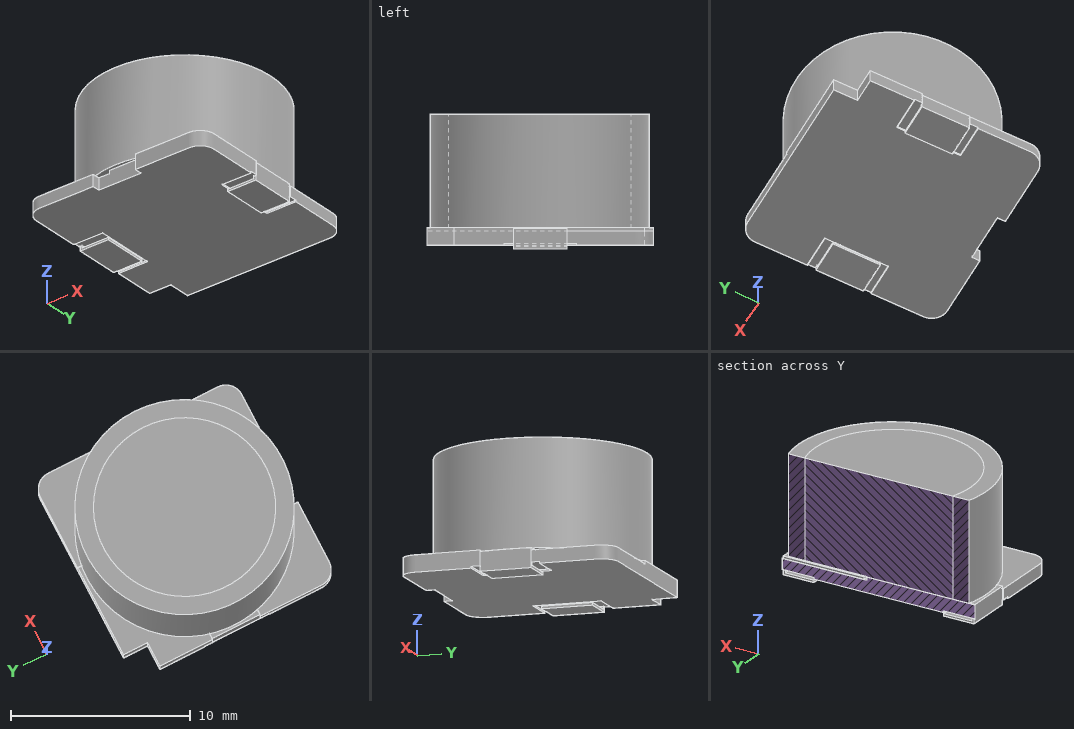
import cadquery as cq

base_side = 12.6
total_height = 7.5
half_side = base_side / 2

sheet_thickness = 0.15
terminal_width = 3.0
terminal_reach = 6.24
foot_length = 2.0
upper_arm_length = 5.28
foot_gap = 0.05
top_gap = 0.05

base_bottom = sheet_thickness + foot_gap
base_thickness = 1.0
base_top = base_bottom + base_thickness
corner_radius = 1.0
corner_cutout = 1.5
front_notch_width = 3.0
front_notch_depth = 0.5
side_notch_depth = half_side - terminal_reach + sheet_thickness

passage_floor = base_top - top_gap - sheet_thickness
passage_offset = 0.75

pocket_width = 4.01
pocket_height = 0.1

ring_radius = 6.1
core_radius = 5.07
ring_height = total_height - base_top
ring_centre_x = -0.03
ring_centre_y = 0.03


def block(x_range, y_range, z_range):
    """Box spanning the given (start, end) ranges along X, Y and Z."""
    (x_start, x_end), (y_start, y_end), (z_start, z_end) = x_range, y_range, z_range
    size = (x_end - x_start, y_end - y_start, z_end - z_start)
    return cq.Workplane("XY").box(*size, centered=False).translate((x_start, y_start, z_start))


def centred_range(width):
    """Range of the given width centred on zero."""
    return (-width / 2, width / 2)


def turned_half(shape):
    """Copy turned half a revolution about the Z axis."""
    return shape.rotate((0, 0, 0), (0, 0, 1), 180)


def make_plate():
    """Square plate with three round corners and one square corner cutout."""
    full_side = centred_range(base_side)
    full_height = (base_bottom, base_top)
    plate = block(full_side, full_side, full_height)
    plate = plate.edges("|Z").edges("<Y or >X").fillet(corner_radius)
    cutout = block(
        (-half_side, corner_cutout - half_side), (half_side - corner_cutout, half_side), full_height
    )
    return plate.cut(cutout)


def make_base():
    """Plate with edge notches, lowered passages and foot pockets."""
    full_height = (base_bottom, base_top)
    front_notch = block(
        centred_range(front_notch_width), (-half_side, front_notch_depth - half_side), full_height
    )
    side_notch = block(
        (-half_side, side_notch_depth - half_side), centred_range(terminal_width), full_height
    )
    passage = block(
        (-half_side, -passage_offset), (-half_side, terminal_width / 2), (passage_floor, base_top)
    )
    pocket = block(
        (-half_side, foot_length - terminal_reach),
        centred_range(pocket_width),
        (base_bottom, base_bottom + pocket_height),
    )
    base = make_plate().cut(front_notch)
    for feature in (side_notch, passage, pocket):
        base = base.cut(feature).cut(turned_half(feature))
    return base


def make_terminal():
    """Terminal on the -X side: an upright with a foot and an upper arm."""
    outer_x = -terminal_reach
    arm_top = base_top - top_gap
    width = centred_range(terminal_width)
    upright = block((outer_x, outer_x + sheet_thickness), width, (0, arm_top))
    foot = block((outer_x, outer_x + foot_length), width, (0, sheet_thickness))
    upper_arm = block((outer_x, outer_x + upper_arm_length), width, (passage_floor, arm_top))
    return upright.union(foot).union(upper_arm)


def make_core():
    """Solid round core standing on the base."""
    return (
        cq.Workplane("XY", origin=(ring_centre_x, ring_centre_y, base_top))
        .circle(core_radius)
        .extrude(ring_height)
    )


def make_ring():
    """Ring closely surrounding the core."""
    return (
        cq.Workplane("XY", origin=(ring_centre_x, ring_centre_y, base_top))
        .circle(ring_radius)
        .circle(core_radius)
        .extrude(ring_height)
    )


base = make_base()
core = make_core()
ring = make_ring()
terminals = []
for angle in (0, 180):
    terminals.append(make_terminal().rotate((0, 0, 0), (0, 0, 1), angle))

result = cq.Compound.makeCompound(
    [base.val(), core.val(), ring.val(), *[terminal.val() for terminal in terminals]]
)